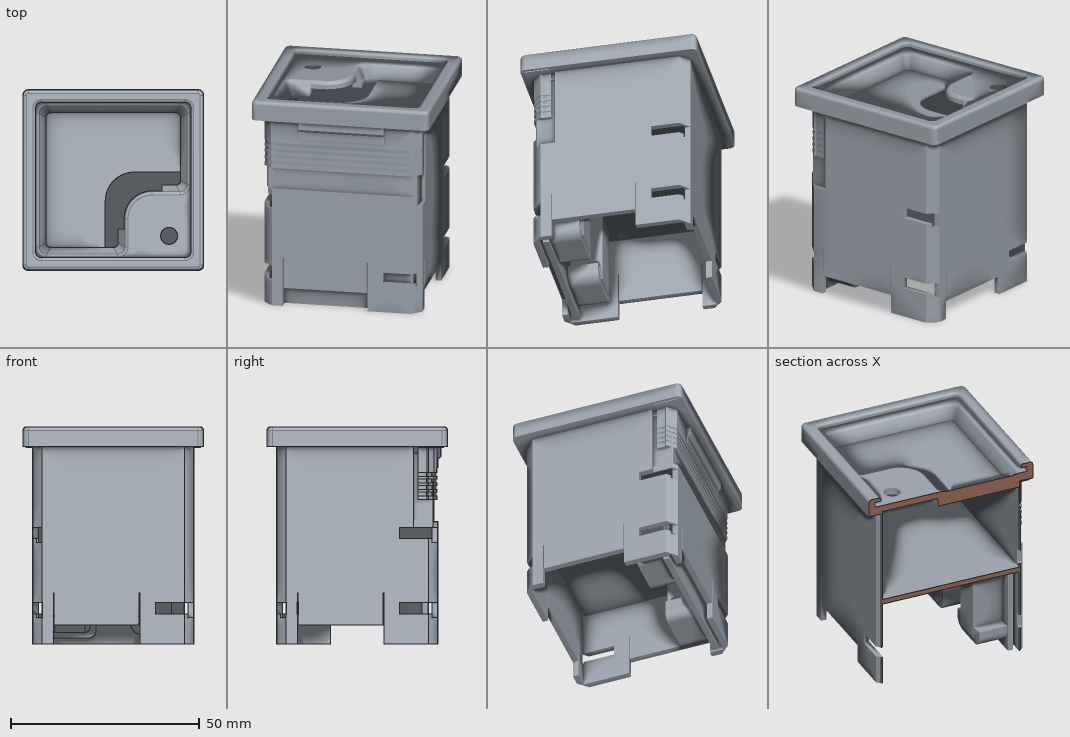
import cadquery as cq
import math

total_height = 57.7
bezel_size = 48.0
bezel_height = 5.25
bezel_corner_radius = 1.5
bezel_edge_radius = 1.0
bezel_bottom = total_height - bezel_height

case_half = 21.4
case_chamfer = 2.55
wall = 1.55
inner_half = case_half - wall
chamfer_start = case_half - case_chamfer

rim_half = 20.6
rim_corner_radius = 1.5
rim_edge_radius = 0.75
rim_depth = 2.6
undercut_half = 22.15
undercut_height = 1.3
ledge_z = total_height - rim_depth
tray_half = 20.35
lip_corner_radius = 2.0
floor_corner_radius = 1.25
island_edge = 3.8
island_arc_radius = 6.45
lip_offset = 0.45
lip_radius = 1.0
draft_offset = 2.0
tray_depth = 3.65
floor_offset = lip_offset + draft_offset
floor_step = 0.25
floor_z = ledge_z - tray_depth - floor_step
floor_thickness = 0.6
tray_underside = floor_z - floor_thickness

floor_edge = 2.15
floor_edge_radius = 7.8
island_face_offset = 0.9
opening_end = 13.0
island_thickness = 2.0
island_hole_diameter = 4.5
island_hole_place = 14.85

plate_top = 25.95
plate_thickness = 1.55

foot_long = 7.05
foot_short = 15.9
tab_bottom = 5.1
slit_top = 13.55
slit_width = 0.25
slot_start = 11.2
slot_height = 3.0
slot_drop = 1.0
lower_slot_z = 8.1
upper_slot_z = 28.05

partition_half = 18.75
partition_front = partition_half - wall
socket_centre = 11.5
socket_half_width = 6.9
socket_front = 9.0
socket_top = 7.5
core_step = 0.25
pad_step = 0.45
pad_half_width = 3.9
core_radius_loss = 0.5
left_socket = dict(centre=-socket_centre, bottom=1.6, left_radius=3.0, right_radius=2.165, shell=1.5)
right_socket = dict(centre=socket_centre, bottom=2.6, left_radius=3.0, right_radius=3.0, shell=1.75)

seat_half_x = 20.15
seat_y = 20.35
seat_side_start = 14.9
seat_side_bottom = 29.85
seat_back_bottom = 32.55
relief_bottom = 43.3
relief = 0.3
ridge_z = 50.6
ridge_height = 0.45

slider_front = 16.15
slider_back = 21.2
slider_bottom = 38.4
wing_half_x = 21.0
flange_half_x = 23.2
flange_back = 22.95
flange_thickness = 0.25
lug_half_width = 11.55
lug_back = 22.2
lug_bottom = 49.9
lug_root_bottom = 46.95
groove_count = 4
groove_pitch = 1.75
groove_height = 1.0
groove_depth = 0.25
first_groove_top = 45.6


def box(x0, x1, y0, y1, z0, z1):
    """Axis-aligned block between two opposite corners."""
    return cq.Workplane("XY").box(x1 - x0, y1 - y0, z1 - z0, centered=False).translate((x0, y0, z0))


def square(half, height, z):
    """Square block centred on the Z axis, standing on height z."""
    return box(-half, half, -half, half, z, z + height)


def chamfered_block(half_x, half_y, chamfer_sum, z0, z1):
    """Block whose four corners are cut by the planes |x| + |y| = chamfer_sum."""
    outline = [
        (half_x, chamfer_sum - half_x),
        (chamfer_sum - half_y, half_y),
        (half_y - chamfer_sum, half_y),
        (-half_x, chamfer_sum - half_x),
        (-half_x, half_x - chamfer_sum),
        (half_y - chamfer_sum, -half_y),
        (chamfer_sum - half_y, -half_y),
        (half_x, half_x - chamfer_sum),
    ]
    return cq.Workplane("XY").polyline(outline).close().extrude(z1 - z0).translate((0, 0, z0))


case_chamfer_sum = case_half + chamfer_start


def tray_outline(plane, offset, radius):
    """Square tray outline, less the island corner, moved inward by offset."""
    half = tray_half - offset
    edge = island_edge - offset
    arc_centre = island_edge + island_arc_radius
    return (
        plane.moveTo(-half + radius, -half)
        .lineTo(edge - radius, -half)
        .radiusArc((edge, -half + radius), -radius)
        .lineTo(edge, -arc_centre)
        .radiusArc((arc_centre, -edge), island_arc_radius + offset)
        .lineTo(half - radius, -edge)
        .radiusArc((half, -edge + radius), -radius)
        .lineTo(half, half - radius)
        .radiusArc((half - radius, half), -radius)
        .lineTo(-half + radius, half)
        .radiusArc((-half, half - radius), -radius)
        .lineTo(-half, -half + radius)
        .radiusArc((-half + radius, -half), -radius)
        .close()
    )


def make_bezel():
    bezel = square(bezel_size / 2, bezel_height, bezel_bottom)
    bezel = bezel.edges("|Z").fillet(bezel_corner_radius)
    bezel = bezel.faces(">Z").edges().fillet(bezel_edge_radius)
    rim = square(rim_half, bezel_height, bezel_bottom).edges("|Z").fillet(rim_corner_radius)
    bezel = bezel.cut(rim).cut(square(undercut_half, undercut_height, ledge_z))
    rim_edges = cq.selectors.BoxSelector(
        (-rim_half - 0.6, -rim_half - 0.6, total_height - 0.05), (rim_half + 0.6, rim_half + 0.6, total_height + 0.05)
    )
    return bezel.edges(rim_edges).fillet(rim_edge_radius)


def make_tray():
    """Top plate with a tray that has a rounded lip and sloping walls."""
    tray = square(rim_half, ledge_z - bezel_bottom, bezel_bottom)
    tray = tray.union(square(inner_half, bezel_bottom - tray_underside, tray_underside))
    walls = tray_outline(cq.Workplane("XY", origin=(0, 0, ledge_z)), lip_offset, lip_corner_radius)
    floor_plane = walls.workplane(offset=-tray_depth)
    walls = tray_outline(floor_plane, floor_offset, floor_corner_radius).loft(ruled=True)
    tray = tray.cut(walls)
    inside_ledge = cq.selectors.BoxSelector(
        (-tray_half, -tray_half, floor_z), (tray_half, tray_half, total_height)
    )
    tray = tray.faces(">Z").edges(inside_ledge).fillet(lip_radius)
    step_plane = cq.Workplane("XY", origin=(0, 0, floor_z))
    tray = tray.cut(tray_outline(step_plane, floor_offset, floor_corner_radius).extrude(floor_step))
    return cut_under_island(cut_floor_opening(tray))


def cut_floor_opening(tray):
    """Opening between the curved edge of the tray floor and the island."""
    floor_half = tray_half - floor_offset
    depth = ledge_z - tray_underside
    beyond_floor_edge = (
        box(-floor_edge, tray_half, -tray_half, floor_edge, tray_underside, ledge_z)
        .edges("|Z and <X and >Y").fillet(floor_edge_radius)
    )
    plane = cq.Workplane("XY", origin=(0, 0, tray_underside))
    sloped_part = tray_outline(plane, floor_offset, floor_corner_radius).extrude(depth)
    upright_part = tray_outline(plane, island_face_offset, lip_corner_radius).extrude(depth).intersect(
        box(-floor_half, opening_end, -opening_end, floor_half, tray_underside, ledge_z)
    )
    return tray.cut(sloped_part.union(upright_part).intersect(beyond_floor_edge))


def cut_under_island(tray):
    """Space that leaves the island as a plate, with tray walls only near the bezel."""
    underside = ledge_z - island_thickness
    face = island_edge - island_face_offset
    space = box(island_edge, inner_half, -inner_half, -island_edge, tray_underside, underside)
    beside_opening = box(face, opening_end, -opening_end, -face, tray_underside, underside)
    return tray.cut(space.union(beside_opening))


def cut_foot_opening(housing, angle):
    """Opening below one wall, with a slit at each end that frees a tab."""
    outer, inner = -case_half, -inner_half
    opening = box(-foot_short, foot_long, outer, inner, 0, tab_bottom)
    for slit_x in (-foot_short, foot_long - slit_width):
        opening = opening.union(box(slit_x, slit_x + slit_width, outer, inner, 0, slit_top))
    return housing.cut(opening.rotate((0, 0, 0), (0, 0, 1), angle))


def cut_corner_slot(housing, bottom, angle):
    """Slot in one wall that runs out through the chamfered corner."""
    top = bottom + slot_height
    slot = box(slot_start, case_half, -case_half, -inner_half, bottom, top)
    corner = box(inner_half, case_half, -case_half, -chamfer_start, bottom - slot_drop, top)
    return housing.cut(slot.union(corner).rotate((0, 0, 0), (0, 0, 1), angle))


def make_socket(centre, bottom, left_radius, right_radius, shell):
    """Socket on the partition: rounded body, a core inside its outline and a flat pad."""
    def block(half, front, z, top):
        return box(centre - half, centre + half, front, partition_front, z, top)
    core_bottom = bottom + shell
    core_radius = min(left_radius, right_radius) - core_radius_loss
    body = block(socket_half_width, socket_front, bottom, socket_top)
    body = body.edges("|Y and <Z and <X").fillet(left_radius)
    body = body.edges("|Y and <Z and >X").fillet(right_radius)
    core = block(socket_half_width - shell, socket_front - core_step, core_bottom, socket_top)
    core = core.edges("|Y and <Z").fillet(core_radius)
    pad = block(pad_half_width, socket_front - pad_step, core_bottom, plate_top - plate_thickness)
    return body.union(core).union(pad)


def slider_core():
    """The part of the case that the slider wraps around."""
    core = chamfered_block(seat_half_x, seat_y, case_chamfer_sum, seat_side_bottom, relief_bottom)
    relief_sum = case_chamfer_sum - relief * math.sqrt(2)
    return core.union(chamfered_block(seat_half_x, seat_y, relief_sum, relief_bottom, bezel_bottom))


def cut_slider_seat(housing):
    sides = box(-case_half, case_half, seat_side_start, case_half, seat_side_bottom, bezel_bottom)
    sides = sides.cut(box(-seat_half_x, seat_half_x, 0, case_half, 0, total_height))
    back = box(-case_half, case_half, seat_y, case_half, seat_back_bottom, bezel_bottom)
    corners = box(-case_half, case_half, chamfer_start, case_half, relief_bottom, bezel_bottom)
    housing = housing.cut(sides).cut(back).cut(corners.cut(slider_core()))
    for x0 in (-seat_half_x - ridge_height, seat_half_x):
        ridge = box(x0, x0 + ridge_height, seat_side_start, slider_front, ridge_z, ridge_z + ridge_height)
        housing = housing.union(ridge)
    return housing


def make_housing():
    case = chamfered_block(case_half, case_half, case_chamfer_sum, 0, bezel_bottom)
    case = case.cut(square(inner_half, bezel_bottom, 0))
    case = case.union(square(inner_half, plate_thickness, plate_top - plate_thickness))
    housing = case.union(make_bezel()).union(make_tray())
    housing = housing.cut(
        cq.Workplane("XY", origin=(island_hole_place, -island_hole_place, ledge_z))
        .circle(island_hole_diameter / 2).extrude(-island_thickness)
    )
    for angle in (0, 90, 180, 270):
        housing = cut_foot_opening(housing, angle)
    for angle in (0, 90, 180, 270):
        housing = cut_corner_slot(housing, lower_slot_z, angle)
    for angle in (90, 270):
        housing = cut_corner_slot(housing, upper_slot_z, angle)
    housing = housing.union(
        box(-partition_half, partition_half, partition_front, partition_half, 0, plate_top)
    )
    for socket in (left_socket, right_socket):
        housing = housing.union(make_socket(**socket))
    return cut_slider_seat(housing)


def slider_blank(inset, z0, z1):
    """U-wrap blank: wings, a ramp up to each corner chamfer and the back."""
    wing = wing_half_x - inset
    back = slider_back - inset
    chamfer_sum = case_chamfer_sum - inset * math.sqrt(2)
    ramp = case_half - wing_half_x
    crest_x = wing + ramp
    crest_y = chamfer_sum - crest_x
    half = [(wing, slider_front), (wing, crest_y - ramp), (crest_x, crest_y), (chamfer_sum - back, back)]
    outline = half + [(-x, y) for x, y in reversed(half)]
    return cq.Workplane("XY").polyline(outline).close().extrude(z1 - z0).translate((0, 0, z0))


def make_slider():
    slider = slider_blank(0, slider_bottom, bezel_bottom)
    for index in range(groove_count):
        top = first_groove_top - index * groove_pitch
        bottom = top - groove_height
        groove = slider_blank(0, bottom, top).cut(slider_blank(groove_depth, bottom, top))
        slider = slider.cut(groove)
    flange_bottom = bezel_bottom - flange_thickness
    slider = slider.union(
        box(-flange_half_x, flange_half_x, slider_front, flange_back, flange_bottom, bezel_bottom)
    )
    lug_slope = lug_back - case_half
    lug = (
        cq.Workplane("YZ")
        .polyline([
            (seat_y, bezel_bottom),
            (lug_back, bezel_bottom),
            (lug_back, lug_bottom),
            (case_half, lug_bottom - lug_slope),
            (case_half, lug_root_bottom),
            (seat_y, lug_root_bottom),
        ])
        .close().extrude(lug_half_width, both=True)
    )
    return slider.union(lug).cut(slider_core())


housing = make_housing()
slider = make_slider()

result = cq.Compound.makeCompound([housing.val(), slider.val()])